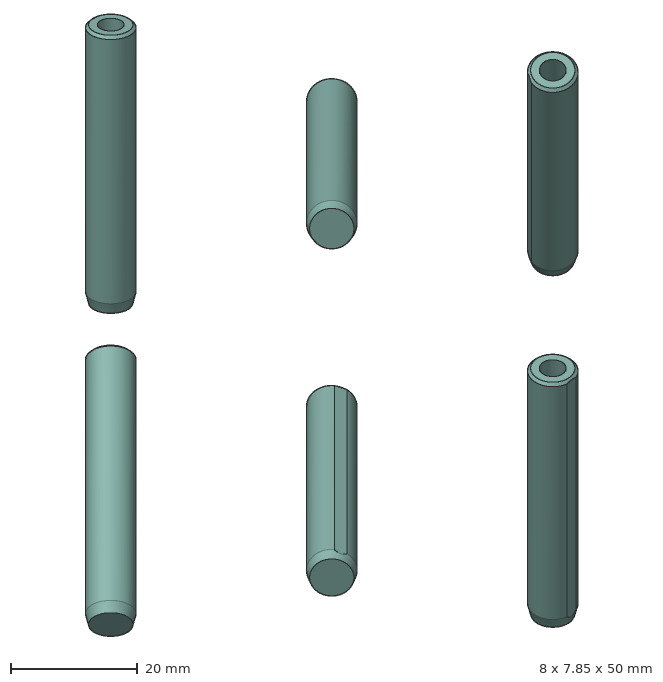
import cadquery as cq
import math

length = 50.0
diameter = 8.0
radius = diameter / 2

top_chamfer = 0.5
taper_height = 2.0
tip_radius = 3.5

flat_depth = 0.15

hole_diameter = 4.2
hole_depth = 12.0
drill_point_angle = 118.0


def make_body():
    """Revolve the pin profile about Z, with its lower end at Z = 0."""
    return (
        cq.Workplane("XZ")
        .moveTo(0, 0)
        .lineTo(tip_radius, 0)
        .lineTo(radius, taper_height)
        .lineTo(radius, length - top_chamfer)
        .lineTo(radius - top_chamfer, length)
        .lineTo(0, length)
        .close()
        .revolve(360, (0, 0, 0), (0, 1, 0))
    )


def make_hole():
    """Drilled hole from the top face, ending in a cone."""
    hole_radius = hole_diameter / 2
    point_height = hole_radius / math.tan(math.radians(drill_point_angle / 2))
    floor = length - hole_depth
    return (
        cq.Workplane("XZ")
        .moveTo(0, length)
        .lineTo(hole_radius, length)
        .lineTo(hole_radius, floor)
        .lineTo(0, floor - point_height)
        .close()
        .revolve(360, (0, 0, 0), (0, 1, 0))
    )


def make_flat_cutter():
    """Block that removes everything beyond the flat on the +Y side."""
    return (
        cq.Workplane("XY")
        .box(diameter, diameter, length, centered=(True, False, False))
        .translate((0, radius - flat_depth, 0))
    )


result = make_body().cut(make_hole()).cut(make_flat_cutter())